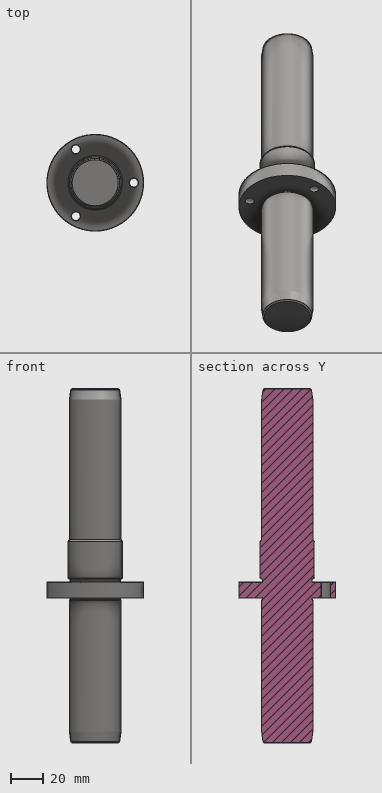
import cadquery as cq

total_length = 220.0
shaft_radius = 16.0

lead_length = 7.0
lead_radius = 15.2
edge_chamfer = 0.9

flange_radius = 30.03
flange_bottom = 90.0
flange_thickness = 10.0
flange_top = flange_bottom + flange_thickness
hole_count = 3
hole_diameter = 5.5
hole_circle_radius = 24.0

collar_radius = 17.0
collar_top = 125.0
collar_top_taper = 1.3
collar_bottom = 102.5
collar_bottom_chamfer = 0.9

groove_radius = 15.6
lower_groove_width = 0.9
groove_wall_taper = 0.7


def make_body():
    """Revolve the half profile of the stepped column about Z."""
    top_lead_start = total_length - lead_length
    face_radius = lead_radius - edge_chamfer
    lower_groove_bottom = flange_bottom - lower_groove_width
    profile = [
        (0, 0),
        (face_radius, 0),
        (lead_radius, edge_chamfer),
        (shaft_radius, lead_length),
        (shaft_radius, lower_groove_bottom - groove_wall_taper),
        (groove_radius, lower_groove_bottom),
        (groove_radius, flange_bottom),
        (flange_radius, flange_bottom),
        (flange_radius, flange_top),
        (groove_radius, flange_top),
        (groove_radius, collar_bottom - collar_bottom_chamfer),
        (collar_radius - collar_bottom_chamfer, collar_bottom - collar_bottom_chamfer),
        (collar_radius, collar_bottom),
        (collar_radius, collar_top),
        (shaft_radius, collar_top + collar_top_taper),
        (shaft_radius, top_lead_start),
        (lead_radius, total_length - edge_chamfer),
        (face_radius, total_length),
        (0, total_length),
    ]
    return cq.Workplane("XZ").polyline(profile).close().revolve(360, (0, 0), (0, 1))


def make_flange_holes():
    """Cylinders through the flange, the first one on the +X axis."""
    return (
        cq.Workplane("XY")
        .workplane(offset=flange_bottom)
        .polarArray(hole_circle_radius, 0, 360, hole_count)
        .circle(hole_diameter / 2)
        .extrude(flange_thickness)
    )


result = make_body().cut(make_flange_holes())